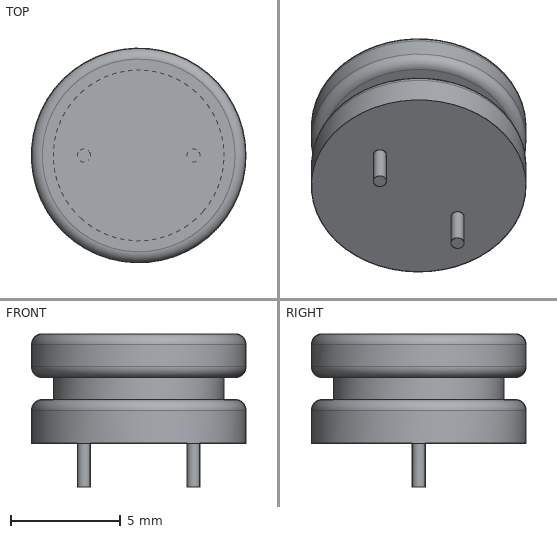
import cadquery as cq

flange_diameter = 9.8
flange_height = 2.0
flange_edge_radius = 0.5
neck_diameter = 7.8
neck_height = 1.0

pin_diameter = 0.6
pin_length = 2.0
pin_spacing = 5.0

upper_flange_base = flange_height + neck_height


def make_disc(diameter, height, base_z):
    """Upright cylinder on the Z axis, standing on base_z."""
    return cq.Workplane("XY").workplane(offset=base_z).circle(diameter / 2).extrude(height)


def make_drum():
    """Drum core with its underside at Z = 0; only that bottom edge stays sharp."""
    lower_flange = make_disc(flange_diameter, flange_height, 0)
    lower_flange = lower_flange.faces(">Z").edges().fillet(flange_edge_radius)

    upper_flange = make_disc(flange_diameter, flange_height, upper_flange_base)
    upper_flange = upper_flange.faces("<Z or >Z").edges().fillet(flange_edge_radius)

    neck = make_disc(neck_diameter, neck_height, flange_height)
    return lower_flange.union(neck).union(upper_flange)


def make_pin(x):
    """Straight round pin hanging from the drum's underside."""
    return make_disc(pin_diameter, pin_length, -pin_length).translate((x, 0, 0))


drum = make_drum()
pins = [make_pin(side * pin_spacing / 2) for side in (-1, 1)]

result = cq.Compound.makeCompound([drum.val(), *[pin.val() for pin in pins]])